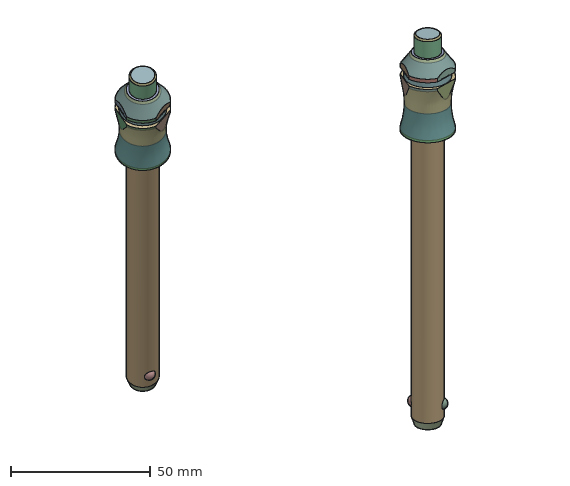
import cadquery as cq
import math

total_length = 160.1
shank_radius = 6.0
tip_radius = 5.0
tip_height = 3.2

ball_radius = 2.2
ball_reach = 7.4
ball_height = 8.6

handle_radius = 10.0
waist_radius = 8.5
handle_bottom = 120.7
lower_rim_top = 121.7
waist_height = 131.8
groove_radius = 8.6
groove_bottom = 142.6
upper_rim_bottom = 141.7
groove_top = 145.4
cap_rim_top = 146.8
shoulder_start_radius = 6.5
shoulder_start = 151.6
shoulder_top_radius = 6.0
handle_top = 152.5

button_radius = 5.0
button_chamfer = 0.6

flat_distance = 8.8
flat_angles = (30, 150, 270)


def waist_arc_middle(end_height):
    """Middle (radius, height) of the arc that leaves the waist parallel to the axis."""
    rise = abs(end_height - waist_height)
    flare = handle_radius - waist_radius
    arc_radius = (rise**2 + flare**2) / (2 * flare)
    half_angle = math.asin(rise / arc_radius) / 2
    middle_radius = waist_radius + arc_radius * (1 - math.cos(half_angle))
    middle_rise = math.copysign(arc_radius * math.sin(half_angle), end_height - waist_height)
    return middle_radius, waist_height + middle_rise


def make_handle():
    handle = (
        cq.Workplane("XZ")
        .moveTo(0, handle_bottom)
        .lineTo(handle_radius, handle_bottom)
        .lineTo(handle_radius, lower_rim_top)
        .threePointArc(waist_arc_middle(lower_rim_top), (waist_radius, waist_height))
        .threePointArc(waist_arc_middle(upper_rim_bottom), (handle_radius, upper_rim_bottom))
        .lineTo(handle_radius, groove_bottom)
        .lineTo(groove_radius, groove_bottom)
        .lineTo(groove_radius, groove_top)
        .lineTo(handle_radius, groove_top)
        .lineTo(handle_radius, cap_rim_top)
        .lineTo(shoulder_start_radius, shoulder_start)
        .lineTo(shoulder_top_radius, handle_top)
        .lineTo(0, handle_top)
        .close()
        .revolve(360, (0, 0), (0, 1))
    )
    for angle in flat_angles:
        handle = handle.cut(make_flat_cutter(angle))
    return handle


def make_flat_cutter(angle):
    """Block that cuts the cap and the upper half of the waist, facing the given angle."""
    return (
        cq.Workplane("XY", origin=(0, 0, waist_height))
        .box(handle_radius, 2 * handle_radius, handle_top - waist_height, centered=(False, True, False))
        .translate((flat_distance, 0, 0))
        .rotate((0, 0, 0), (0, 0, 1), angle)
    )


def make_shank():
    return (
        cq.Workplane("XZ")
        .polyline([
            (0, 0),
            (tip_radius, 0),
            (shank_radius, tip_height),
            (shank_radius, handle_bottom),
            (0, handle_bottom),
        ])
        .close()
        .revolve(360, (0, 0), (0, 1))
    )


def make_button():
    return (
        cq.Workplane("XY", origin=(0, 0, handle_top))
        .circle(button_radius)
        .extrude(total_length - handle_top)
        .faces(">Z")
        .chamfer(button_chamfer)
    )


result = make_shank().union(make_handle()).union(make_button())
for side in (-1, 1):
    ball_x = side * (ball_reach - ball_radius)
    result = result.union(cq.Workplane("XY").sphere(ball_radius).translate((ball_x, 0, ball_height)))